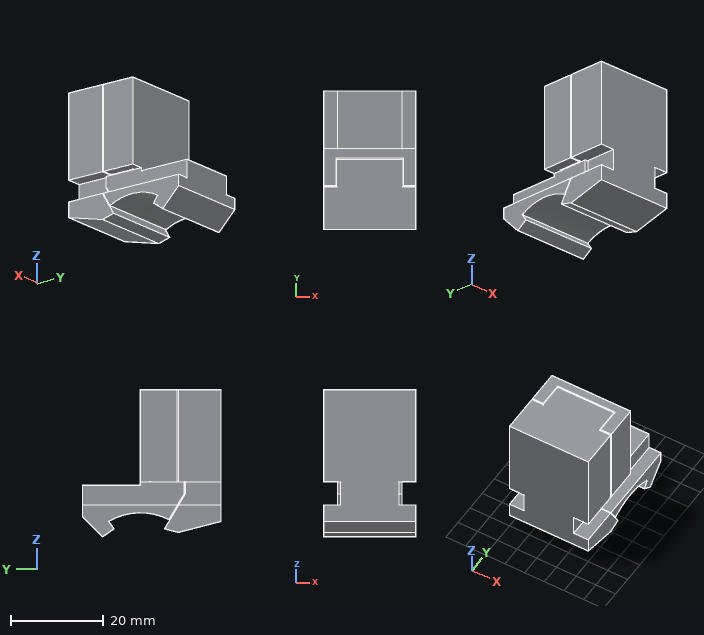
import cadquery as cq

WIDTH = 20.0
DEPTH = 30.0
HEIGHT = 31.9

LEDGE_Z = 6.95
CHANNEL_TOP_Z = 11.93
SHELF_Z = 11.23

BLOCK_BACK_Y = 17.5
FLANGE_FRONT_Y = 9.22
FLANGE_GAP = 0.3
TONGUE_INSET = 2.85
TONGUE_BACK_Y = 15.2
TONGUE_SIDE_GAP = 0.1
TONGUE_BACK_GAP = 0.25

BASE_CHANNEL_DEPTH = 3.0
JAW_CHANNEL_DEPTH = 3.7

JAW_NECK_Y = 7.78
NECK_GAP = 0.2
JAW_BEND_Z = 9.35
JAW_TIP_Y = 12.28
JAW_TIP_Z = 1.75
SLANT_GAP = 0.15
SLANT_RUN = (JAW_TIP_Y - JAW_NECK_Y) / (JAW_BEND_Z - JAW_TIP_Z)

JAW_FRONT_Z = 3.35
JAW_LOW_Y = 9.28
JAW_LOW_Z = 0.95

ARCH_END_Z = 3.73
ARCH_TOP = (17.8, 5.2)
HOOK_ROOT = (24.27, 3.38)
HOOK_INNER = (23.15, 1.75)
HOOK_TIP = (25.65, 0.0)
HOOK_BACK_Z = 4.37


def box(width, y_min, y_max, z_min, z_max):
    """Box centred on X = 0."""
    size_y = y_max - y_min
    size_z = z_max - z_min
    return cq.Workplane("XY").box(width, size_y, size_z, centered=(True, False, False)).translate(
        (0, y_min, z_min)
    )


def extrude_across(profile):
    """Extrude a YZ profile over the full width."""
    return profile.close().extrude(WIDTH / 2, both=True)


def cut_side_channels(body, channel_depth):
    """Cut a straight channel along Y into both sides."""
    for side in (-1, 1):
        channel = box(2 * channel_depth, 0, DEPTH, LEDGE_Z, CHANNEL_TOP_Z)
        body = body.cut(channel.translate((side * WIDTH / 2, 0, 0)))
    return body


def base_slant_y(z):
    """Y of the slanted parting face of the base at height z."""
    return JAW_NECK_Y + SLANT_GAP + (JAW_BEND_Z - z) * SLANT_RUN


def make_base():
    """Rear body: shelf with the fixed hook, and a block with the tongue pocket."""
    neck_y = JAW_NECK_Y + NECK_GAP
    bend_z = JAW_BEND_Z - (NECK_GAP - SLANT_GAP) / SLANT_RUN
    lower = extrude_across(
        cq.Workplane("YZ")
        .moveTo(neck_y, CHANNEL_TOP_Z)
        .lineTo(neck_y, bend_z)
        .lineTo(base_slant_y(ARCH_END_Z), ARCH_END_Z)
        .threePointArc(ARCH_TOP, HOOK_ROOT)
        .lineTo(*HOOK_INNER)
        .lineTo(*HOOK_TIP)
        .lineTo(DEPTH, HOOK_BACK_Z)
        .lineTo(DEPTH, SHELF_Z)
        .lineTo(BLOCK_BACK_Y, SHELF_Z)
        .lineTo(BLOCK_BACK_Y, CHANNEL_TOP_Z)
    )
    lower = cut_side_channels(lower, BASE_CHANNEL_DEPTH)

    block = box(WIDTH, FLANGE_FRONT_Y + FLANGE_GAP, BLOCK_BACK_Y, CHANNEL_TOP_Z, HEIGHT)
    pocket_width = WIDTH - 2 * (TONGUE_INSET - TONGUE_SIDE_GAP)
    pocket_back_y = TONGUE_BACK_Y + TONGUE_BACK_GAP
    pocket = box(pocket_width, FLANGE_FRONT_Y, pocket_back_y, CHANNEL_TOP_Z, HEIGHT)
    return lower.union(block.cut(pocket))


def make_jaw():
    """Front body: moving jaw with a block and a tongue resting on the base."""
    lower = extrude_across(
        cq.Workplane("YZ")
        .moveTo(0, CHANNEL_TOP_Z)
        .lineTo(0, JAW_FRONT_Z)
        .lineTo(JAW_LOW_Y, JAW_LOW_Z)
        .lineTo(JAW_TIP_Y, JAW_TIP_Z)
        .lineTo(JAW_NECK_Y, JAW_BEND_Z)
        .lineTo(JAW_NECK_Y, CHANNEL_TOP_Z)
    )
    lower = cut_side_channels(lower, JAW_CHANNEL_DEPTH)

    block = box(WIDTH, 0, FLANGE_FRONT_Y, CHANNEL_TOP_Z, HEIGHT)
    tongue_width = WIDTH - 2 * TONGUE_INSET
    tongue = box(tongue_width, 0, TONGUE_BACK_Y, CHANNEL_TOP_Z, HEIGHT)
    return lower.union(block).union(tongue)


base = make_base()
jaw = make_jaw()
result = cq.Compound.makeCompound([base.val(), jaw.val()])